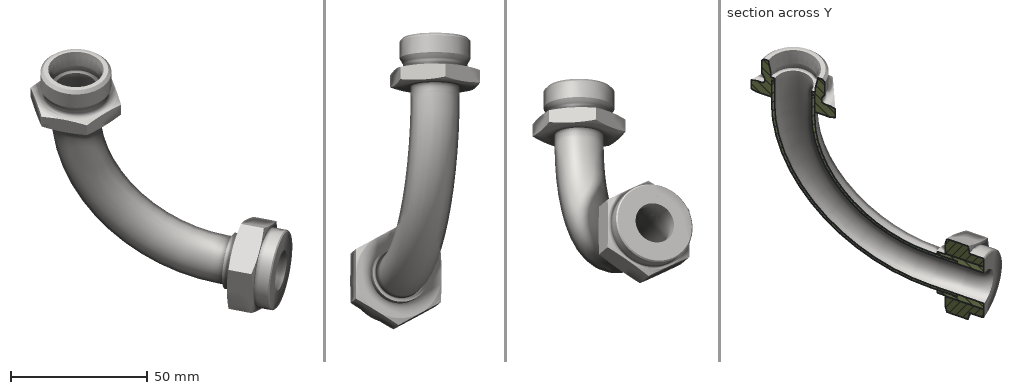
import cadquery as cq
import math


tube_diameter = 18.0
bore_diameter = 15.0
bend_radius = 56.1
stub_length = 3.0
joint_place = bend_radius + stub_length

fitting_height = 17.9
fitting_top = joint_place + fitting_height
thread_diameter = 26.1
rim_chamfer = 1.15
thread_depth = 7.5
undercut_diameter = 23.7
undercut_fillet = 1.15
runout_angle = math.radians(30)
fitting_hex_flats = 30.0
fitting_hex_height = 5.8
seat_mouth_diameter = 20.3
seat_diameter = 18.1
seat_cone_depth = 5.7
seat_depth = 7.9
tube_end_depth = 9.4
tube_insertion = fitting_height - tube_end_depth

sleeve_diameter = 21.0
sleeve_exposed_length = 3.45
sleeve_mouth_chamfer = 0.6
nut_start = joint_place + sleeve_exposed_length
nut_hex_flats = 32.0
nut_hex_length = 10.1
nut_collar_diameter = 30.0
nut_end = 78.5
nut_end_chamfer = 0.5

hex_chamfer_angle = math.radians(15)
corner_ratio = 2 / math.sqrt(3)


def hex_prism(flats, height):
    """Hexagon standing on the XY plane, corners on X, both ends corner-chamfered."""
    corners = flats * corner_ratio
    bevel_width = (corners - flats) / 2
    bevel_height = bevel_width * math.tan(hex_chamfer_angle)
    prism = cq.Workplane("XY").polygon(6, corners).extrude(height)
    envelope = (
        cq.Workplane("XY")
        .circle(corners / 2)
        .extrude(height)
        .faces("<Z or >Z")
        .chamfer(bevel_height, bevel_width)
    )
    return prism.intersect(envelope)


def rod(diameter, start, end):
    """Cylinder on the Z axis between two heights."""
    return cq.Workplane("XY").workplane(offset=start).circle(diameter / 2).extrude(end - start)


def swing_to_x_axis(body):
    """Turn a body built along Z so that it lies along X."""
    return body.rotate((0, 0, 0), (0, 1, 0), 90)


def make_tube():
    tube_end = joint_place + tube_insertion
    bend_middle = bend_radius * (1 - math.sqrt(0.5))
    path = (
        cq.Workplane("XZ")
        .moveTo(0, tube_end)
        .lineTo(0, bend_radius)
        .threePointArc((bend_middle, bend_middle), (bend_radius, 0))
        .lineTo(tube_end, 0)
    )
    return (
        cq.Workplane("XY")
        .workplane(offset=tube_end)
        .circle(tube_diameter / 2)
        .circle(bore_diameter / 2)
        .sweep(path)
    )


def make_threaded_neck():
    """Rim, thread cylinder, runout cone and filleted undercut above the hexagon."""
    thread_radius = thread_diameter / 2
    undercut_radius = undercut_diameter / 2
    hex_top = joint_place + fitting_hex_height
    thread_bottom = fitting_top - thread_depth

    fillet_center = undercut_radius + undercut_fillet
    foot_top = hex_top + undercut_fillet
    cone_end_radius = fillet_center - undercut_fillet * math.cos(runout_angle)
    cone_end = thread_bottom - (thread_radius - cone_end_radius) / math.tan(runout_angle)
    fillet_end = cone_end - undercut_fillet * math.sin(runout_angle)
    half_angle = runout_angle / 2
    upper_middle = (
        fillet_center - undercut_fillet * math.cos(half_angle),
        fillet_end + undercut_fillet * math.sin(half_angle),
    )
    foot_middle = (
        fillet_center - undercut_fillet * math.sqrt(0.5),
        foot_top - undercut_fillet * math.sqrt(0.5),
    )
    return (
        cq.Workplane("XZ")
        .moveTo(0, joint_place)
        .lineTo(0, fitting_top)
        .lineTo(thread_radius - rim_chamfer, fitting_top)
        .lineTo(thread_radius, fitting_top - rim_chamfer)
        .lineTo(thread_radius, thread_bottom)
        .lineTo(cone_end_radius, cone_end)
        .threePointArc(upper_middle, (undercut_radius, fillet_end))
        .lineTo(undercut_radius, foot_top)
        .threePointArc(foot_middle, (fillet_center, hex_top))
        .lineTo(fillet_center, joint_place)
        .close()
        .revolve(360, (0, 0, 0), (0, 1, 0))
    )


def make_fitting_cavity():
    """Conical seat, cylindrical seat, through bore and socket for the tube."""
    seat_bottom = fitting_top - seat_depth
    tube_end = joint_place + tube_insertion
    return (
        cq.Workplane("XZ")
        .moveTo(0, fitting_top)
        .lineTo(seat_mouth_diameter / 2, fitting_top)
        .lineTo(seat_diameter / 2, fitting_top - seat_cone_depth)
        .lineTo(seat_diameter / 2, seat_bottom)
        .lineTo(bore_diameter / 2, seat_bottom)
        .lineTo(bore_diameter / 2, tube_end)
        .lineTo(tube_diameter / 2, tube_end)
        .lineTo(tube_diameter / 2, joint_place)
        .lineTo(0, joint_place)
        .close()
        .revolve(360, (0, 0, 0), (0, 1, 0))
    )


def make_fitting():
    hexagon = hex_prism(fitting_hex_flats, fitting_hex_height).translate((0, 0, joint_place))
    return hexagon.union(make_threaded_neck()).cut(make_fitting_cavity())


def make_nut():
    hexagon = hex_prism(nut_hex_flats, nut_hex_length).translate((0, 0, nut_start))
    collar = rod(nut_collar_diameter, nut_start, nut_end).faces(">Z").chamfer(nut_end_chamfer)
    bore = rod(sleeve_diameter, nut_start, nut_end)
    return swing_to_x_axis(hexagon.union(collar).cut(bore))


def make_sleeve():
    """Ring running through the nut, with a countersunk socket for the tube."""
    outside = rod(sleeve_diameter, joint_place, nut_end)
    bore = rod(bore_diameter, joint_place, nut_end)
    socket = rod(tube_diameter, joint_place, joint_place + tube_insertion)
    mouth_edge = cq.selectors.RadiusNthSelector(0)
    sleeve_ring = outside.cut(bore).cut(socket)
    sleeve_ring = sleeve_ring.faces("<Z").edges(mouth_edge).chamfer(sleeve_mouth_chamfer)
    return swing_to_x_axis(sleeve_ring)


tube = make_tube()
fitting = make_fitting()
nut = make_nut()
sleeve = make_sleeve()

result = cq.Compound.makeCompound([tube.val(), fitting.val(), nut.val(), sleeve.val()])